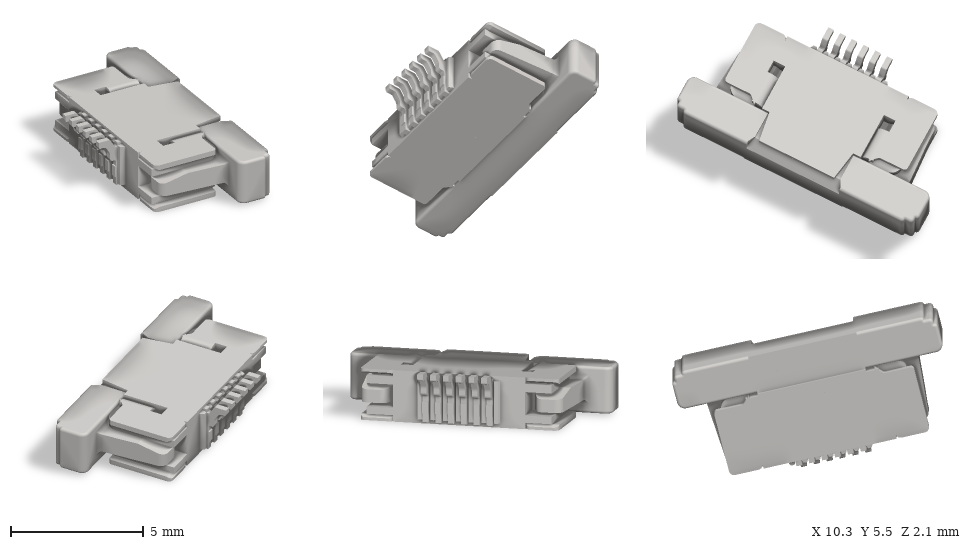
import cadquery as cq
import math


contact_count = 6
contact_span = 2.5
pitch = contact_span / (contact_count - 1)
contact_width = 0.23
tail_reach = 1.0
tail_top = 2.1
tail_bottom = 1.83
contact_profile = [
    (0, 1.87), (-0.07, 1.9), (-0.18, 1.9), (-0.18, 1.75),
    (-0.28, 1.73), (-0.5, tail_top), (-tail_reach, tail_top),
    (-tail_reach, tail_bottom), (-0.7, tail_bottom), (-0.5, 1.51), (-0.5, 1.17), (-0.24, 1.17),
    (-0.24, 0.91), (-0.3, 0.91), (-0.3, 0.45), (-0.24, 0.45),
    (-0.24, 0.1), (0, 0.1),
]
contact_bends = [
    ((-0.28, 1.73), 0.05), ((-0.5, tail_top), 0.08), ((-tail_reach, tail_bottom), 0.08),
    ((-0.7, tail_bottom), 0.12), ((-0.5, 1.51), 0.26), ((-0.5, 1.17), 0.12), ((-0.24, 1.17), 0.09),
]
rib_width = pitch - contact_width
rib_depth = 0.2
rib_tip_width = 0.14
rib_straight = 0.05
rib_bottom = 0.19
rib_top = 1.8

height = 1.99
housing_rear = 3.0
plate_rear = 4.19
plate_thickness = 0.21
plate_floor = height - plate_thickness
core_side = 2.1
plate_rear_half = 1.6
plate_front_half = 1.78
slope_start = 4.09

half_length = 5.15
slider_rear = 4.5
cap_bottom = 0.09
cap_top = 1.9
cap_inner = 1.82
cap_inner_rear = 1.98
cap_flare_rear = 4.38
lobe_radius = 0.12
side_lobe_step = 0.36
notch_radius = 0.02
rear_lobe_step = 0.44
cap_front_radius = 0.3
cap_round = 0.11

wing_side = 3.88
wing_inner = 2.59
wing_rear = 2.69
wing_corner = 0.2
wing_rear_corner = 0.13
wing_hook_radius = 0.15
wing_hook_outer = 2.74
wing_hook_inner = 2.44
gap_front = 2.9
slab_side = 3.63
slab_top = 1.74
slab_corner = 0.47
neck_side = 3.57
neck_front = 0.19
bevel_front_z = 1.87
slot_bottom = 0.53
slot_top = 1.43
stop_side = 3.01
stop_front = 1.1
stop_corner = 0.09

groove_outer = 2.49
pocket_outer = 2.6
pocket_front = 1.1
pocket_rear = 1.61
ramp_outer = 2.47
ramp_inner = 2.32
ledge_height = 1.44

arm_bottom = 0.63
arm_top = 1.4
arm_root_side = 4.12
arm_tip_side = 3.92
arm_tip = 0.26
arm_tip_radius = 0.3
arm_inner = 3.11
barb_side = 2.74
barb_front = 0.82
barb_rear = 0.97
barb_foot_side = 3.0
barb_foot_radius = 0.3
taper_start = 1.36
taper_tip_height = 1.13
arm_root_fillet = 0.16


def box(x0, x1, y0, y1, z0, z1):
    return cq.Workplane("XY").box(x1 - x0, y1 - y0, z1 - z0, centered=False).translate((x0, y0, z0))


def prism(points, z0, z1):
    """Straight-sided XY outline raised from z0 to z1."""
    return cq.Workplane("XY").workplane(offset=z0).polyline(points).close().extrude(z1 - z0)


def side_prism(points, x0, x1):
    """Straight-sided YZ outline drawn along X from x0 to x1."""
    return cq.Workplane("YZ").workplane(offset=x0).polyline(points).close().extrude(x1 - x0)


def round_upright_edge(body, x, y, radius):
    """Fillet the upright edge of body that stands at (x, y)."""
    bounds = body.val().BoundingBox()
    middle = (x, y, (bounds.zmin + bounds.zmax) / 2)
    return body.edges("|Z").edges(cq.selectors.NearestToPointSelector(middle)).fillet(radius)


def contact_x(index):
    return -contact_span / 2 + index * pitch


def section_start(index):
    """Sections meet in the plane of each contact's left flank."""
    return contact_x(index) - contact_width / 2


def core(x0, x1):
    slope_drop = slider_rear - slope_start
    profile = [
        (0, 0), (housing_rear, 0), (housing_rear, cap_bottom), (slider_rear, cap_bottom),
        (slider_rear, plate_floor - slope_drop), (slope_start, plate_floor),
        (plate_rear, plate_floor), (plate_rear, height), (0, height),
    ]
    return side_prism(profile, x0, x1)


def contact(index):
    """Formed metal strip: upright at the front face, then bent up and out to a solder tail."""
    left = section_start(index)
    strip = side_prism(contact_profile, left, left + contact_width)
    for (y, z), radius in contact_bends:
        middle = (left + contact_width / 2, y, z)
        strip = strip.edges(cq.selectors.NearestToPointSelector(middle)).fillet(radius)
    return strip


def rib(x):
    """Tapered rib standing out of the front face, centred on x."""
    half = rib_width / 2
    tip = rib_tip_width / 2
    outline = [
        (x - half, 0), (x - half, -rib_straight), (x - tip, -rib_depth),
        (x + tip, -rib_depth), (x + half, -rib_straight), (x + half, 0),
    ]
    return prism(outline, rib_bottom, rib_top)


def contact_and_rib(index):
    return contact(index).union(rib(contact_x(index) + pitch / 2))



def cap():
    """Slider grip whose outer rear corner steps back in three rounded lobes."""
    r = lobe_radius
    bulge = r * math.sqrt(0.5)
    notches = [
        (-half_length + rear_lobe_step, slider_rear - r),
        (-half_length + r, slider_rear - side_lobe_step),
    ]
    lobe_centres = [
        (notches[0][0] + r, slider_rear - r),
        (notches[1][0] + r, notches[0][1] - r),
        (-half_length + r, notches[1][1] - r),
    ]
    outline = cq.Workplane("XY").workplane(offset=cap_bottom).moveTo(-cap_inner, housing_rear)
    outline = outline.lineTo(-cap_inner, slope_start).lineTo(-cap_inner_rear, cap_flare_rear)
    outline = outline.lineTo(-cap_inner_rear, slider_rear)
    for x, y in lobe_centres:
        outline = outline.lineTo(x, y + r).threePointArc((x - bulge, y + bulge), (x - r, y))
    body = outline.lineTo(-half_length, housing_rear).close().extrude(cap_top - cap_bottom)
    body = round_upright_edge(body, -half_length, housing_rear, cap_front_radius)
    for x, y in notches:
        body = round_upright_edge(body, x, y, notch_radius)
    outer_part = cq.selectors.BoxSelector(
        (-half_length - 0.1, housing_rear - 0.1, 0), (-cap_inner_rear - 0.1, slider_rear + 0.1, height))
    return body.faces("|Z").edges(outer_part).fillet(cap_round)


def latch_arm():
    outline = [
        (-arm_root_side, housing_rear), (-arm_tip_side, arm_tip), (-barb_foot_side, arm_tip),
        (-barb_side, barb_front), (-arm_inner, barb_rear), (-arm_inner, housing_rear),
    ]
    arm = prism(outline, arm_bottom, arm_top)
    for x, radius in ((-arm_tip_side, arm_tip_radius), (-barb_foot_side, barb_foot_radius)):
        arm = round_upright_edge(arm, x, arm_tip, radius)
    taper = [(taper_start, arm_top), (arm_tip, taper_tip_height), (arm_tip, arm_top)]
    return arm.cut(side_prism(taper, -arm_root_side, -barb_side))


def slider():
    """Cap and arm, blended where the arm leaves the cap."""
    margin = 0.01
    joined = cap().union(latch_arm())
    reach = cq.selectors.BoxSelector(
        (-arm_root_side - margin, housing_rear - margin, arm_bottom - margin),
        (-arm_inner - margin, housing_rear + margin, arm_top + margin))
    return joined.edges(reach).fillet(arm_root_fillet)


def wing_plate():
    """Top plate of the wing, with a beveled underside along its front edge."""
    outline = [
        (-core_side, 0), (-wing_side, 0), (-wing_side, wing_rear), (-wing_hook_outer, wing_rear),
        (-wing_hook_inner, housing_rear), (-wing_hook_inner, gap_front), (-core_side, gap_front),
    ]
    plate = prism(outline, plate_floor, height)
    plate = round_upright_edge(plate, -wing_side, 0, wing_corner)
    plate = round_upright_edge(plate, -wing_side, wing_rear, wing_rear_corner)
    plate = round_upright_edge(plate, -wing_hook_outer, wing_rear, wing_hook_radius)
    bevel = [(0, bevel_front_z), (neck_front, plate_floor), (0, plate_floor)]
    plate = plate.cut(side_prism(bevel, -wing_side, -wing_inner))
    relief = box(-wing_inner - wing_corner, -wing_inner, 0, wing_corner, plate_floor, height)
    rounding = (cq.Workplane("XY").workplane(offset=plate_floor).circle(wing_corner)
                .extrude(plate_thickness).translate((-wing_inner - wing_corner, wing_corner, 0)))
    plate = plate.cut(relief.cut(rounding))
    neck = box(-neck_side, -core_side, neck_front, wing_rear - wing_rear_corner, slab_top, plate_floor)
    return plate.union(neck)


def wing():
    """Two plates and a slotted block between them that takes the latch arm."""
    plate = wing_plate()
    block = box(-slab_side, -wing_hook_inner, 0, housing_rear, height - slab_top, slab_top)
    block = round_upright_edge(block, -slab_side, housing_rear, slab_corner)
    slot = prism([
        (-wing_side, 0), (-wing_inner, 0), (-wing_inner, stop_front), (-stop_side, stop_front),
        (-stop_side, housing_rear), (-wing_side, housing_rear)], slot_bottom, slot_top)
    slot = round_upright_edge(slot, -wing_inner, stop_front, stop_corner)
    root = box(-wing_inner, -core_side, 0, gap_front, 0, height)
    lower_plate = plate.mirror("XY").translate((0, 0, height))
    return block.cut(slot).union(root).union(plate).union(lower_plate)


def groove_and_pocket():
    """Round-flanked groove along the core, ending in a pocket with a ramped floor."""
    radius = groove_outer - core_side
    groove = box(-groove_outer, -core_side, pocket_front, gap_front, height - radius, height)
    flank = (cq.Workplane("XZ").circle(radius).extrude(-gap_front)
             .translate((-groove_outer, 0, height - radius)))
    ramp_drop = ramp_outer - ramp_inner
    pocket = (cq.Workplane("XZ").polyline([
        (-pocket_outer, height), (-pocket_outer, ledge_height), (-ramp_outer, ledge_height),
        (-ramp_inner, ledge_height - ramp_drop), (-core_side, ledge_height - ramp_drop),
        (-core_side, height)]).close().extrude(pocket_front - pocket_rear)
        .translate((0, pocket_front, 0)))
    return groove.cut(flank).union(pocket)


def end_shell(inner_x):
    """Left end of the housing and slider, reaching to the section plane inner_x."""
    plate_trim = prism([
        (-core_side, housing_rear), (-plate_front_half, housing_rear),
        (-plate_rear_half, plate_rear), (-core_side, plate_rear)], plate_floor, height)
    shell = core(-core_side, inner_x).cut(plate_trim).union(wing())
    return shell.cut(groove_and_pocket()).union(slider())


def left_section():
    first_rib = rib(contact_x(0) - pitch / 2)
    return end_shell(section_start(1)).union(first_rib).union(contact_and_rib(0))


def middle_section(index):
    return core(section_start(index), section_start(index + 1)).union(contact_and_rib(index))


def right_section():
    last = contact_count - 1
    return end_shell(-section_start(last)).mirror("YZ").union(contact_and_rib(last))


middle_sections = [middle_section(index) for index in range(1, contact_count - 1)]

result = cq.Compound.makeCompound([
    left_section().val(),
    *[section.val() for section in middle_sections],
    right_section().val(),
])